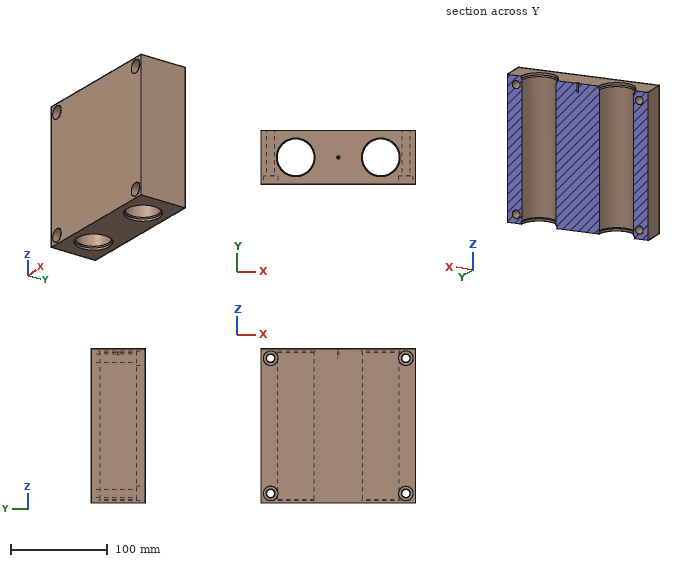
import cadquery as cq

side = 160.0
thickness = 56.0

screw_inset = 10.0
screw_diameter = 8.3
screw_head_diameter = 15.0
screw_head_depth = 9.0
screw_chamfer = 0.4

bore_spacing = 88.0
bore_diameter = 38.0
recess_diameter = 40.0
recess_depth = 2.5
taper_height = 1.5

pin_diameter = 1.3
pin_depth = 9.6
pin_mouth_diameter = 3.2
pin_mouth_depth = 1.0


def turned_cutter(profile):
    """Revolve a list of (radius, distance along Z) points around the Z axis."""
    return cq.Workplane("XZ").polyline(profile).close().revolve(360, (0, 0, 0), (0, 1, 0))


def screw_cutter():
    """Stepped screw hole along Z, with the head opening at the origin, running down."""
    hole_radius = screw_diameter / 2
    head_radius = screw_head_diameter / 2
    return turned_cutter([
        (0, 0),
        (head_radius, 0),
        (head_radius, -screw_head_depth),
        (hole_radius + screw_chamfer, -screw_head_depth),
        (hole_radius, -screw_head_depth - screw_chamfer),
        (hole_radius, -thickness),
        (0, -thickness),
    ])


def bore_cutter():
    """Through bore along Z, centred on the origin, with a tapered recess at both ends."""
    bore_radius = bore_diameter / 2
    recess_radius = recess_diameter / 2
    end = side / 2
    recess_floor = end - recess_depth
    taper_end = recess_floor - taper_height
    return turned_cutter([
        (0, end),
        (recess_radius, end),
        (recess_radius, recess_floor),
        (bore_radius, taper_end),
        (bore_radius, -taper_end),
        (recess_radius, -recess_floor),
        (recess_radius, -end),
        (0, -end),
    ])


def pin_cutter():
    """Countersunk blind hole running down from the origin."""
    pin_radius = pin_diameter / 2
    return turned_cutter([
        (0, 0),
        (pin_mouth_diameter / 2, 0),
        (pin_radius, -pin_mouth_depth),
        (pin_radius, -pin_depth),
        (0, -pin_depth),
    ])


result = cq.Workplane("XY").box(side, thickness, side)

front_screw = screw_cutter().rotate((0, 0, 0), (1, 0, 0), 90)
screw_offset = side / 2 - screw_inset
for x in (-screw_offset, screw_offset):
    for z in (-screw_offset, screw_offset):
        result = result.cut(front_screw.translate((x, -thickness / 2, z)))

for x in (-bore_spacing / 2, bore_spacing / 2):
    result = result.cut(bore_cutter().translate((x, 0, 0)))

result = result.cut(pin_cutter().translate((0, 0, side / 2)))